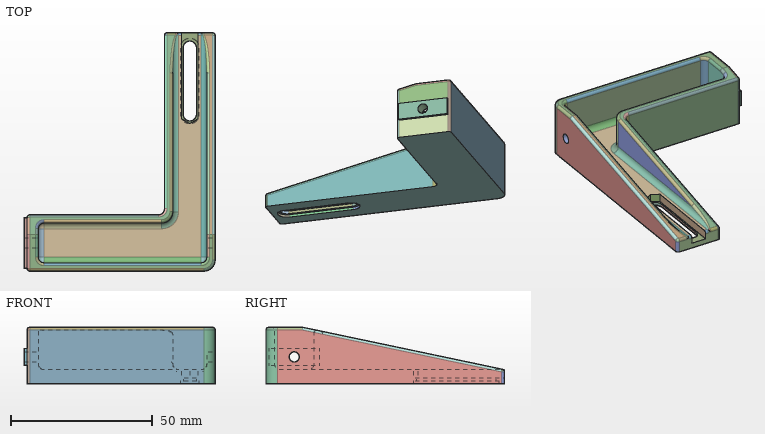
import cadquery as cq
import math

body_length = 66.5
body_depth = 84.3
body_height = 20.0
foot_width = 20.0
arm_width = 18.0
flat_depth = 13.0
tip_height = 5.0

outer_corner_radius = 4.0
inner_corner_radius = 2.0
edge_radius = 1.0

side_wall = 3.0
end_wall = 4.0
floor_height = tip_height
floor_radius = 2.0
cavity_bend_radius = 4.0

slot_width = 4.6
nut_flats = 5.7
slot_near_y = 55.45
slot_far_y = 79.0
channel_floor = 2.0
recess_width = 6.6
recess_depth = 0.9

tongue_length = 1.0
tongue_width = 18.0
tongue_height = 6.0
hole_diameter = 3.5
hole_height = 9.5

pick_margin = 0.1
open_end_overrun = 10.0

arm_left = body_length - arm_width
arm_centre = body_length - arm_width / 2
foot_centre = foot_width / 2


def near(x, y):
    """Selector for the upright edge standing at (x, y)."""
    return cq.selectors.BoxSelector(
        (x - pick_margin, y - pick_margin, 0),
        (x + pick_margin, y + pick_margin, 2 * body_height),
        boundingbox=False,
    )


def above_slope():
    """Everything above the level and sloping top, across the full length."""
    return (
        cq.Workplane("YZ")
        .moveTo(0, body_height)
        .lineTo(flat_depth, body_height)
        .lineTo(body_depth, tip_height)
        .lineTo(body_depth, 2 * body_height)
        .lineTo(0, 2 * body_height)
        .close()
        .extrude(body_length)
    )


def make_body():
    """L-shaped block with rounded upright edges and the sloping top cut."""
    body = (
        cq.Workplane("XY")
        .polyline([
            (0, 0),
            (body_length, 0),
            (body_length, body_depth),
            (arm_left, body_depth),
            (arm_left, foot_width),
            (0, foot_width),
        ])
        .close()
        .extrude(body_height)
    )
    body = body.edges(near(body_length, 0)).fillet(outer_corner_radius)
    body = body.edges(near(arm_left, foot_width)).fillet(inner_corner_radius)
    plain_corners = [
        (0, 0),
        (0, foot_width),
        (arm_left, body_depth),
        (body_length, body_depth),
    ]
    for x, y in plain_corners:
        body = body.edges(near(x, y)).fillet(edge_radius)
    return body.cut(above_slope())


def make_cavity():
    """L-shaped hollow with rounded floor, open above and at the tip of the sloping arm."""
    left = end_wall
    right = body_length - side_wall
    bend_x = arm_left + side_wall
    bend_y = foot_width - side_wall
    far_y = body_depth + open_end_overrun
    cavity = (
        cq.Workplane("XY", origin=(0, 0, floor_height))
        .polyline([
            (left, side_wall),
            (right, side_wall),
            (right, far_y),
            (bend_x, far_y),
            (bend_x, bend_y),
            (left, bend_y),
        ])
        .close()
        .extrude(2 * body_height)
    )
    cavity = cavity.edges(near(bend_x, bend_y)).fillet(cavity_bend_radius)
    for x, y in [(left, side_wall), (left, bend_y), (right, side_wall)]:
        cavity = cavity.edges(near(x, y)).fillet(floor_radius)
    return cavity.faces("<Z").edges("not(>Y)").fillet(floor_radius)


def round_rim(body):
    """Round every edge around the level and sloping top faces."""
    top_faces = [
        face
        for face in body.faces("%PLANE").vals()
        if face.normalAt().z > 0 and face.Center().z > floor_height + edge_radius
    ]
    edges = [edge for face in top_faces for edge in face.Edges()]
    rim = [edge for edge in edges if sum(edge.isSame(other) for other in edges) == 1]
    return body.newObject(rim).fillet(edge_radius)


def round_floor_end(body):
    """Round the two strips of floor beside the nut channel where they meet the arm's tip."""
    strips = cq.selectors.BoxSelector(
        (arm_left, body_depth - edge_radius, floor_height - pick_margin),
        (body_length, body_depth + edge_radius, floor_height + pick_margin),
    )
    return body.edges("|X").edges(strips).fillet(edge_radius)


def make_slot(width, height):
    """Round-ended slot between the two slot end centres, rising from the underside."""
    run = slot_far_y - slot_near_y
    return (
        cq.Workplane("XY")
        .center(arm_centre, (slot_near_y + slot_far_y) / 2)
        .slot2D(run + width, width, 90)
        .extrude(height)
    )


def make_nut_channel():
    """Channel as wide as a hexagon nut, pointed at its closed end and open at the arm's tip."""
    half_width = nut_flats / 2
    half_side_angle = math.radians(30)
    shoulder_y = slot_near_y - half_width * math.tan(half_side_angle)
    point_y = slot_near_y - half_width / math.cos(half_side_angle)
    return (
        cq.Workplane("XY", origin=(arm_centre, 0, channel_floor))
        .polyline([
            (0, point_y),
            (half_width, shoulder_y),
            (half_width, body_depth),
            (-half_width, body_depth),
            (-half_width, shoulder_y),
        ])
        .close()
        .extrude(body_height)
    )


def make_tongue():
    """Flat tongue on the left end, rooted halfway into the end wall."""
    root = end_wall / 2
    return (
        cq.Workplane("XY", origin=(-tongue_length, foot_centre, hole_height))
        .box(tongue_length + root, tongue_width, tongue_height, centered=(False, True, True))
    )


def make_cross_hole():
    """Hole along X through the tongue and both upright walls."""
    return (
        cq.Workplane("YZ", origin=(-tongue_length, foot_centre, hole_height))
        .circle(hole_diameter / 2)
        .extrude(tongue_length + body_length)
    )


hollow = make_body().cut(make_cavity()).cut(make_nut_channel())
rounded = round_floor_end(round_rim(hollow))
result = (
    rounded
    .union(make_tongue())
    .cut(make_slot(slot_width, body_height))
    .cut(make_slot(recess_width, recess_depth))
    .cut(make_cross_hole())
)